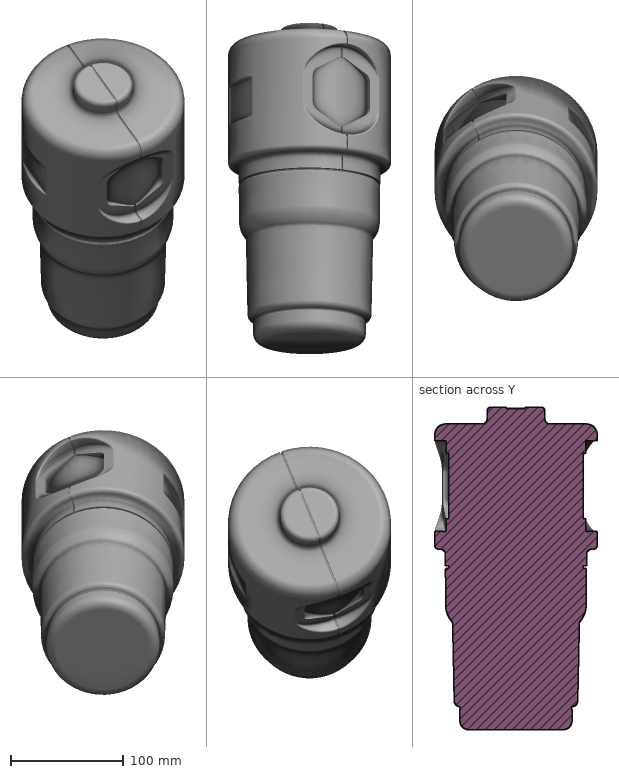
import cadquery as cq
import math

TOTAL_HEIGHT = 287.5
HEAD_RADIUS = 72.5
HEAD_TOP = 272.5
HEAD_BOTTOM = 160.5
HEAD_TOP_FILLET = 10.0
HEAD_BOTTOM_FILLET = 4.0
BOSS_RADIUS = 26.0
BOSS_FILLET = 4.0
NECK_RADIUS = 63.0
NECK_FILLET = 4.0
NECK_BOTTOM = 145.7

GAP_HEIGHT = 1.7
GAP_RADIUS = 60.0

BOWL_TOP = NECK_BOTTOM - GAP_HEIGHT
BOWL_TOP_CHAMFER = 1.3
SHOULDER_START = (62.7, 110.3)
SHOULDER_END = (57.6, 97.0)
TAPER_TOP = (56.6, 95.0)
TAPER_BOTTOM = (55.2, 26.0)
STEP_END = (51.0, 20.8)
FOOT_RADIUS = 50.2
FOOT_TOP = 17.9
FOOT_FILLET = 8.5

TURN_ANGLE = 7.0

PORT_HEIGHT = 217.0
PORT_RADIUS = 41.0
PORT_FLOOR = 61.7
PORT_FLOOR_FILLET = 1.2
HEX_ACROSS_FLATS = 57.5
HEX_CORNER_FILLET = 9.0
CORE_RADIUS = 60.3

RECESS_CENTER_HEIGHT = 213.7
RECESS_WIDTH = 43.4
RECESS_HEIGHT = 35.6
RECESS_FLOOR = 68.2
RECESS_DRAFT = 10.0
RECESS_FLOOR_FILLET = 1.5

RIM_FILLET = 1.2

SEAM_WIDTH = 2.0
SEAM_DEPTH = PORT_FLOOR - CORE_RADIUS

CUT_LENGTH = 20.0
TOLERANCE = 0.01


def corner_arc(sketch, center, radius, start, end):
    """Add an arc about center, running between two angles in degrees."""
    def at(angle):
        turn = math.radians(angle)
        return (center[0] + radius * math.cos(turn), center[1] + radius * math.sin(turn))

    return sketch.lineTo(*at(start)).threePointArc(at((start + end) / 2), at(end))


def make_head(inset=0.0):
    """Head, boss and neck, with every outside surface moved inwards by inset."""
    boss_radius = BOSS_RADIUS - inset
    head_radius = HEAD_RADIUS - inset
    neck_radius = NECK_RADIUS - inset
    top = TOTAL_HEIGHT - inset
    head_top = HEAD_TOP - inset
    head_bottom = HEAD_BOTTOM + inset
    boss_round = BOSS_FILLET - inset
    boss_blend = BOSS_FILLET + inset
    top_round = HEAD_TOP_FILLET - inset
    bottom_round = HEAD_BOTTOM_FILLET - inset
    neck_blend = NECK_FILLET + inset

    outline = cq.Workplane("XZ").moveTo(0, NECK_BOTTOM).lineTo(neck_radius, NECK_BOTTOM)
    outline = corner_arc(outline, (neck_radius + neck_blend, head_bottom - neck_blend), neck_blend, 180, 90)
    outline = corner_arc(outline, (head_radius - bottom_round, head_bottom + bottom_round), bottom_round, -90, 0)
    outline = corner_arc(outline, (head_radius - top_round, head_top - top_round), top_round, 0, 90)
    outline = corner_arc(outline, (boss_radius + boss_blend, head_top + boss_blend), boss_blend, 270, 180)
    outline = corner_arc(outline, (boss_radius - boss_round, top - boss_round), boss_round, 0, 90)
    return outline.lineTo(0, top).close().revolve(360, (0, 0, 0), (0, 1, 0))


def make_bowl():
    """Stepped, slightly tapered bowl with its neck gap on top."""
    outline = (
        cq.Workplane("XZ")
        .moveTo(0, NECK_BOTTOM)
        .lineTo(GAP_RADIUS, NECK_BOTTOM)
        .lineTo(GAP_RADIUS, BOWL_TOP)
        .lineTo(NECK_RADIUS - BOWL_TOP_CHAMFER, BOWL_TOP)
        .lineTo(NECK_RADIUS, BOWL_TOP - BOWL_TOP_CHAMFER)
        .lineTo(*SHOULDER_START)
        .tangentArcPoint(SHOULDER_END, relative=False)
        .tangentArcPoint(TAPER_TOP, relative=False)
        .lineTo(*TAPER_BOTTOM)
        .tangentArcPoint(STEP_END, relative=False)
        .tangentArcPoint((FOOT_RADIUS, FOOT_TOP), relative=False)
    )
    outline = corner_arc(outline, (FOOT_RADIUS - FOOT_FILLET, FOOT_FILLET), FOOT_FILLET, 0, -90)
    return outline.lineTo(0, 0).close().revolve(360, (0, 0, 0), (0, 1, 0))


def make_port_recess(grow=0.0):
    """Cutter on the +X side: a disc, all its faces moved outwards by grow."""
    return (
        cq.Workplane("YZ", origin=(PORT_FLOOR - grow, 0, PORT_HEIGHT))
        .circle(PORT_RADIUS + grow)
        .extrude(CUT_LENGTH)
        .faces("<X")
        .edges()
        .fillet(PORT_FLOOR_FILLET)
    )


def make_hex_window():
    """Cutter on the +X side: a hexagon with points up that ends on the inner core."""
    hexagon = (
        cq.Workplane("YZ", origin=(0, 0, PORT_HEIGHT))
        .transformed(rotate=(0, 0, 90))
        .polygon(6, HEX_ACROSS_FLATS / math.cos(math.radians(30)))
        .extrude(PORT_FLOOR + PORT_FLOOR_FILLET)
        .edges("|X")
        .fillet(HEX_CORNER_FILLET)
    )
    core = cq.Workplane("XY").circle(CORE_RADIUS).extrude(TOTAL_HEIGHT)
    return hexagon.cut(core)


def make_side_recess():
    """Cutter on the -Y side: a drafted rectangle with rounded corners and floor edges."""
    return (
        cq.Workplane("XZ", origin=(0, -RECESS_FLOOR, RECESS_CENTER_HEIGHT))
        .rect(RECESS_WIDTH, RECESS_HEIGHT)
        .extrude(CUT_LENGTH, taper=-RECESS_DRAFT)
        .faces(">Y")
        .edges()
        .fillet(RECESS_FLOOR_FILLET)
    )


def on_both_sides(cutter):
    """The cutter and its copy half a turn round, both set to the turned axes."""
    axis = ((0, 0, 0), (0, 0, 1))
    first = cutter.rotate(*axis, TURN_ANGLE)
    return first.union(cutter.rotate(*axis, TURN_ANGLE + 180))


def is_rim_edge(edge):
    """True for edges of the recesses that lie on the straight outside wall of the head."""
    points = [edge.startPoint(), edge.endPoint()]
    lowest = HEAD_BOTTOM + HEAD_BOTTOM_FILLET + TOLERANCE
    highest = HEAD_TOP - HEAD_TOP_FILLET - TOLERANCE
    on_wall = all(abs(math.hypot(p.x, p.y) - HEAD_RADIUS) < TOLERANCE for p in points)
    return on_wall and all(lowest < p.z < highest for p in points)


def round_rims(head):
    """Round the rims where the recesses break through the outside wall."""
    rims = [edge for edge in head.edges().vals() if is_rim_edge(edge)]
    return head.newObject(rims).fillet(RIM_FILLET)


def make_seam():
    """Thin slab in the turned XZ plane, hollowed so it only cuts SEAM_DEPTH into the head."""
    slab_height = TOTAL_HEIGHT - NECK_BOTTOM
    slab = (
        cq.Workplane("XY", origin=(0, 0, NECK_BOTTOM))
        .rect(2 * (HEAD_RADIUS + CUT_LENGTH), SEAM_WIDTH)
        .extrude(slab_height)
        .rotate((0, 0, 0), (0, 0, 1), TURN_ANGLE)
    )
    inner_head = make_head(SEAM_DEPTH).cut(on_both_sides(make_port_recess(SEAM_DEPTH)))
    return slab.cut(inner_head)


head = make_head()
head = head.cut(on_both_sides(make_port_recess()))
head = head.cut(on_both_sides(make_side_recess()))
head = round_rims(head)
head = head.cut(on_both_sides(make_hex_window()))
head = head.cut(make_seam())
result = head.union(make_bowl())